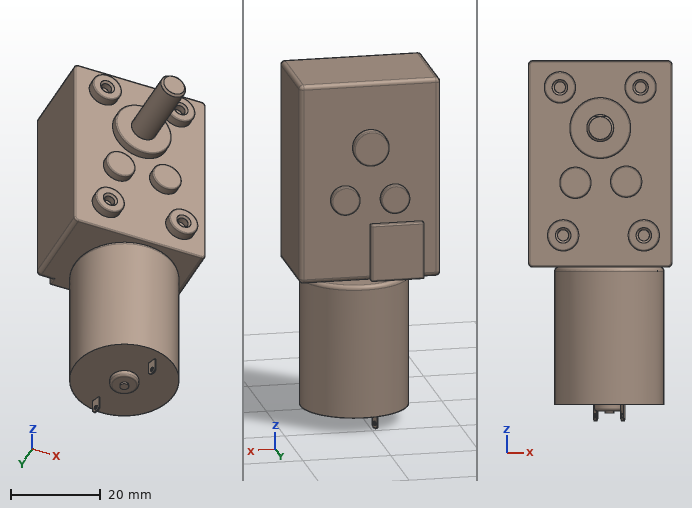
import cadquery as cq


part_height = 80.3

box_width = 32.0
box_depth = 20.95
box_height = 46.0
box_top = 15.0
box_bottom = box_top - box_height
box_edge_radius = 1.0
box_front_radius = 0.3

shaft_dia = 6.0
shaft_length = 18.3
shaft_chamfer = 0.5
flat_length = 9.95
flat_depth = 0.5
flange_dia = 13.6
flange_height = 1.9
rim_radius = 0.25

screw_dia = 7.0
screw_height = 2.2
screw_pitch_x = 18.0
screw_pitch_z = 33.0
screw_top_inset = 5.95
screw_upper_z = box_top - screw_top_inset
screw_lower_shift = 0.7
socket_dia = 2.5
socket_mouth_dia = 3.45
socket_depth = 2.0
socket_mouth_angle = 90

axle_places = [(-5.55, -12.2), (5.8, -12.0)]
axle_front_dia = 7.0
axle_front_height = 1.9
axle_back_dia = 6.5
axle_back_height = 1.45
shaft_cap_dia = 8
shaft_cap_height = 1.85

pad_left = -12.05
pad_width = 12.05
pad_height = 13.1
pad_thickness = 1.45
pad_edge_radius = 0.3

motor_dia = 24.4
motor_length = 30.7
motor_x = 2.0
motor_y = 13.0
motor_edge_radius = 1.0
motor_bottom = box_bottom - motor_length
hub_dia = 6.5
hub_height = 1.45
hub_radius = 0.5
stub_dia = 2.0
stub_height = 1.9

tab_width = 2.0
tab_thickness = 0.3
tab_length = part_height - box_height - motor_length
tab_corner = 0.5
tab_hole_dia = 1.0
tab_hole_drop = 2.5
tab_radius = 9.0
tab_angle = 109.7


def front_disc(x, z, diameter, height):
    """Disc that stands out of the front face toward -Y."""
    disc = cq.Workplane("XZ").center(x, z).circle(diameter / 2).extrude(height)
    return disc.faces("<Y").fillet(rim_radius)


def back_disc(x, z, diameter, height):
    """Disc that stands out of the back face toward +Y."""
    back_plane = cq.Workplane("XZ", origin=(0, box_depth, 0))
    disc = back_plane.center(x, z).circle(diameter / 2).extrude(-height)
    return disc.faces(">Y").fillet(rim_radius)


def housing():
    """Box rounded on all edges, with a smaller radius around the front face."""
    box = cq.Workplane("XY", origin=(0, box_depth / 2, box_bottom))
    box = box.box(box_width, box_depth, box_height, centered=(True, True, False))
    box = box.edges("|Y or >Y").fillet(box_edge_radius)
    return box.faces("<Y").edges().fillet(box_front_radius)


def output_shaft():
    """Round shaft with a flat on the upper side of its free end."""
    shaft = cq.Workplane("XZ").circle(shaft_dia / 2).extrude(shaft_length)
    shaft = shaft.faces("<Y").chamfer(shaft_chamfer)
    flat = cq.Workplane("XY", origin=(0, -shaft_length, shaft_dia / 2 - flat_depth))
    flat = flat.box(shaft_dia, flat_length, shaft_dia, centered=(True, False, False))
    return shaft.cut(flat)


def screw_boss(x, z):
    """Boss with a blind socket that is chamfered at its mouth."""
    boss = front_disc(x, z, screw_dia, screw_height)
    boss = boss.faces("<Y").workplane(centerOption="CenterOfBoundBox")
    return boss.cskHole(socket_dia, socket_mouth_dia, socket_mouth_angle, socket_depth)


def back_pad():
    """Rectangular pad with rounded corners and a rounded rim."""
    pad = cq.Workplane("XY", origin=(pad_left, box_depth - box_edge_radius, box_bottom))
    pad = pad.box(pad_width, box_edge_radius + pad_thickness, pad_height, centered=False)
    return pad.edges("|Y or >Y").fillet(pad_edge_radius)


def motor():
    """Motor can with a rounded upper edge, a bottom hub and a shaft stub."""
    bottom = cq.Workplane("XY", origin=(motor_x, motor_y, motor_bottom))
    can = bottom.circle(motor_dia / 2).extrude(motor_length)
    can = can.faces(">Z").edges().fillet(motor_edge_radius)
    hub = bottom.circle(hub_dia / 2).extrude(-hub_height)
    hub = hub.faces("<Z").edges().fillet(hub_radius)
    stub = bottom.circle(stub_dia / 2).extrude(-stub_height)
    return can.union(hub).union(stub)


def terminal_tab(angle):
    """Flat tab in a radial plane of the motor, with clipped lower corners and a wire hole."""
    tab = cq.Workplane("XY", origin=(tab_radius, 0, -tab_length / 2))
    tab = tab.box(tab_width, tab_thickness, tab_length)
    tab = tab.faces("<Z").edges("|Y").chamfer(tab_corner)
    hole = cq.Workplane("XZ", origin=(tab_radius, 0, -tab_hole_drop))
    hole = hole.circle(tab_hole_dia / 2).extrude(tab_thickness, both=True)
    tab = tab.cut(hole).rotate((0, 0, 0), (0, 0, 1), angle)
    return tab.translate((motor_x, motor_y, motor_bottom))


result = housing().union(motor()).union(back_pad()).union(output_shaft())
result = result.union(front_disc(0, 0, flange_dia, flange_height))
result = result.union(back_disc(0, 0, shaft_cap_dia, shaft_cap_height))

for axle_x, axle_z in axle_places:
    result = result.union(front_disc(axle_x, axle_z, axle_front_dia, axle_front_height))
    result = result.union(back_disc(axle_x, axle_z, axle_back_dia, axle_back_height))

for side in (-1, 1):
    upper_x = side * screw_pitch_x / 2
    result = result.union(screw_boss(upper_x, screw_upper_z))
    result = result.union(screw_boss(upper_x + screw_lower_shift, screw_upper_z - screw_pitch_z))

for half_turn in (0, 180):
    result = result.union(terminal_tab(tab_angle + half_turn))